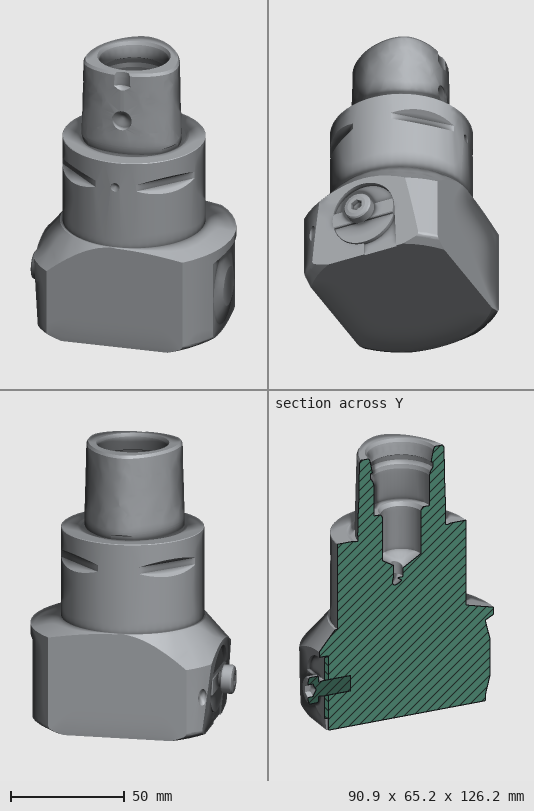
import cadquery as cq
import math

TOTAL_HEIGHT = 126.2
COLLAR_TOP = 88.2
HEAD_TOP = 47.6

HEAD_RADIUS = 45.0
HEAD_WIDTH = 65.2
BACK_SHOULDER_RADIUS = 32.7
FRONT_SHOULDER_RADIUS = 31.8
BACK_CONE_BOTTOM = 32.8
FRONT_CONE_BOTTOM = 44.2
BASE_CHAMFER_HEIGHT = 2.5
BASE_CHAMFER_ANGLE = 30.0
BASE_FILLET_RADIUS = 2.3

BACK_FLAT_BASE_X = -36.5
BACK_FLAT_TILT = 6.0

TOOL_FACE_X = 41.1
LIP_UNDERSIDE_INNER_Z = 38.6
LIP_UNDERSIDE_OUTER_Z = 40.6
TOOL_BOSS_BASE_RADIUS = 17.3
TOOL_BOSS_TIP_RADIUS = 8.8
TOOL_BOSS_HEIGHT = 2.1

COLLAR_RADIUS = 31.5
COLLAR_EDGE_CHAMFER = 0.3
GRIPPER_Z = 76.4
GRIPPER_ANGLES = (45, 135, 225, 315)
GRIPPER_FLOOR_DISTANCE = 27.9
GRIPPER_FLOOR_HALF_HEIGHT = 1.5
GRIPPER_MOUTH_HALF_HEIGHT = 3.9
MARK_HOLE_RADIUS = 2.0
MARK_HOLE_DEPTH = 1.0
RELIEF_OUTER_RADIUS = 24.2
RELIEF_INNER_RADIUS = 22.8
RELIEF_DEPTH = 0.4

SHANK_BASE_RADIUS = 22.1
SHANK_TOP_RADIUS = 21.2
LOBE_TO_FLAT_RISE = 2.9
LOBE_HEIGHT = LOBE_TO_FLAT_RISE / 2
NECK_INSET = 0.1
SHANK_TAPER_START = 91.2
SHANK_BEVEL_HEIGHT = 1.3
SHANK_BEVEL_INSET = 0.8
NECK_TOP = 90.4
LOBE_TRIM_RADIUS = 22.8
LOBE_TRIM_TOP = 89.6
OUTLINE_POINTS = 36

MOUTH_RADIUS = 16.2
MOUTH_CHAMFER_HEIGHT = 1.5
SEAT_TOP_RADIUS = 15.4
SEAT_BOTTOM_RADIUS = 14.3
SEAT_BOTTOM_Z = 119.1
GROOVE_RADIUS = 15.1
GROOVE_TOP = 118.6
GROOVE_BOTTOM = 116.4
BORE_LEAD_RADIUS = 14.0
BORE_LEAD_TOP = 114.7
BORE_RADIUS = 13.5
BORE_TOP = 112.8
LEDGE_Z = 98.4
DRILL_MOUTH_RADIUS = 10.3
DRILL_RADIUS = 9.2
DRILL_MOUTH_DEPTH = 1.8
DRILL_TIP_Z = 70.7
DRILL_POINT_ANGLE = 31.0

COOLANT_RADIUS = 2.5
COOLANT_DIRECTION = 145.0
COOLANT_INLET_OFFSET = 2.0
COOLANT_INLET_DEPTH = 3.8
COOLANT_OUTLET_Z = 18.9

KEYWAY_RADIUS = 5.3
KEYWAY_AXIS_Y = -23.5
KEYWAY_FLOOR_Z = 119.8
KEYWAY_POINT_ANGLE = 45.0
SIDE_HOLE_RADIUS = 4.4
SIDE_HOLE_Z = 103.6
SIDE_HOLE_MOUTH_Y = -20.3
SIDE_HOLE_DEPTH = 1.5
SIDE_HOLE_TILT = 10.0

CLAMP_Z = 20.6
RECESS_RADIUS = 15.0
RECESS_FLOOR_X = -35.8
RECESS_RUNOUT_Y = 0.6
DISC_RADIUS = 14.8
DISC_FACE_X = -37.9
RIB_FACE_X = -39.2
RIB_WIDTH = 7.6
RIB_EDGE_CHAMFER = 0.4
SCREW_HEAD_FACE_X = -45.9
SCREW_HEAD_UNDERSIDE_X = -40.5
SCREW_HEAD_RADIUS = 6.4
SCREW_HEAD_RIM_RADIUS = 5.9
SCREW_FACE_RADIUS = 4.3
SCREW_FACE_STEP = 0.4
SCREW_HEAD_CHAMFER = 0.6
SCREW_SHANK_RADIUS = 3.5
SCREW_END_X = -25.2
SOCKET_SIDES = 6
SOCKET_WIDTH = 5.8
SOCKET_DEPTH = 2.5

CUT_MARGIN = 6.3
BURIED_OVERLAP = 1.3


def cosd(angle):
    return math.cos(math.radians(angle))


def sind(angle):
    return math.sin(math.radians(angle))


def tand(angle):
    return math.tan(math.radians(angle))


def turned(points):
    """Solid turned about Z from (radius, z) points."""
    return cq.Workplane("XZ").polyline(points).close().revolve(360, (0, 0), (0, 1))


def turned_about_clamp_axis(points):
    """Solid turned about the X-direction clamp axis from (x, radius) points."""
    profile = cq.Workplane("XZ").polyline(points).close()
    return profile.revolve(360, (0, 0), (1, 0)).translate((0, 0, CLAMP_Z))


def cone_pointed_drill(radius, depth, point_angle):
    """Drill pointing along -Z: its full diameter starts CUT_MARGIN above Z = 0 and ends at -depth."""
    point_height = radius * tand(point_angle)
    return turned([
        (0, CUT_MARGIN),
        (radius, CUT_MARGIN),
        (radius, -depth),
        (0, -depth - point_height),
    ])


def head_half(shoulder_radius, cone_bottom, start_angle):
    """Half of the turned head blank, with its cone running from shoulder_radius down to cone_bottom."""
    chamfer_width = BASE_CHAMFER_HEIGHT / tand(BASE_CHAMFER_ANGLE)
    fillet_turn = 90 - BASE_CHAMFER_ANGLE
    tangent = BASE_FILLET_RADIUS * tand(fillet_turn / 2)
    fillet_start = (
        HEAD_RADIUS - tangent * cosd(BASE_CHAMFER_ANGLE),
        BASE_CHAMFER_HEIGHT - tangent * sind(BASE_CHAMFER_ANGLE),
    )
    fillet_end = (HEAD_RADIUS, BASE_CHAMFER_HEIGHT + tangent)
    fillet_middle = (
        HEAD_RADIUS - BASE_FILLET_RADIUS * (1 - cosd(fillet_turn / 2)),
        fillet_end[1] - BASE_FILLET_RADIUS * sind(fillet_turn / 2),
    )
    profile = (
        cq.Workplane("XZ")
        .lineTo(HEAD_RADIUS - chamfer_width, 0)
        .lineTo(*fillet_start)
        .threePointArc(fillet_middle, fillet_end)
        .lineTo(HEAD_RADIUS, cone_bottom)
        .lineTo(shoulder_radius, HEAD_TOP)
        .lineTo(0, HEAD_TOP)
        .close()
    )
    half = profile.revolve(180, (0, 0), (0, 1))
    return half.rotate((0, 0, 0), (0, 0, 1), start_angle)


def back_flat_cutter():
    """Everything outside the tilted -X flat."""
    height = HEAD_TOP + CUT_MARGIN
    outside_x = -HEAD_RADIUS - CUT_MARGIN
    top_x = BACK_FLAT_BASE_X - height * tand(BACK_FLAT_TILT)
    outline = [(BACK_FLAT_BASE_X, 0), (top_x, height), (outside_x, height), (outside_x, 0)]
    return cq.Workplane("XZ").polyline(outline).close().extrude(HEAD_RADIUS, both=True)


def tool_face_cutter():
    """Everything outside the +X tool face, below the overhanging lip."""
    outside_x = HEAD_RADIUS + CUT_MARGIN
    lip_slope = (LIP_UNDERSIDE_OUTER_Z - LIP_UNDERSIDE_INNER_Z) / (HEAD_RADIUS - TOOL_FACE_X)
    outside_z = LIP_UNDERSIDE_INNER_Z + lip_slope * (outside_x - TOOL_FACE_X)
    outline = [
        (TOOL_FACE_X, 0),
        (TOOL_FACE_X, LIP_UNDERSIDE_INNER_Z),
        (outside_x, outside_z),
        (outside_x, 0),
    ]
    return cq.Workplane("XZ").polyline(outline).close().extrude(HEAD_RADIUS, both=True)


def tool_boss():
    return turned_about_clamp_axis([
        (TOOL_FACE_X - BURIED_OVERLAP, 0),
        (TOOL_FACE_X - BURIED_OVERLAP, TOOL_BOSS_BASE_RADIUS),
        (TOOL_FACE_X, TOOL_BOSS_BASE_RADIUS),
        (TOOL_FACE_X + TOOL_BOSS_HEIGHT, TOOL_BOSS_TIP_RADIUS),
        (TOOL_FACE_X + TOOL_BOSS_HEIGHT, 0),
    ])


def clamp_recess():
    """Round disc seat with a straight run-out down through the underside."""
    outside_x = -HEAD_RADIUS - CUT_MARGIN
    depth = RECESS_FLOOR_X - outside_x
    seat = (
        cq.Workplane("YZ", origin=(outside_x, 0, CLAMP_Z))
        .circle(RECESS_RADIUS)
        .extrude(depth)
    )
    runout = cq.Workplane("XY").box(
        depth, RECESS_RUNOUT_Y + RECESS_RADIUS, CLAMP_Z, centered=False
    ).translate((outside_x, -RECESS_RADIUS, 0))
    return seat.union(runout)


def head():
    back = head_half(BACK_SHOULDER_RADIUS, BACK_CONE_BOTTOM, 90)
    front = head_half(FRONT_SHOULDER_RADIUS, FRONT_CONE_BOTTOM, -90)
    blank = back.union(front)
    sides = cq.Workplane("XY").box(4 * HEAD_RADIUS, HEAD_WIDTH, 4 * HEAD_RADIUS)
    body = blank.intersect(sides).cut(back_flat_cutter()).cut(tool_face_cutter())
    return body.union(tool_boss()).cut(clamp_recess())


def gripper_groove(angle):
    """Straight trapezoidal groove across the collar, facing the given direction."""
    rise = GRIPPER_MOUTH_HALF_HEIGHT - GRIPPER_FLOOR_HALF_HEIGHT
    flare = rise / (COLLAR_RADIUS - GRIPPER_FLOOR_DISTANCE)
    outside = COLLAR_RADIUS + CUT_MARGIN
    mouth = GRIPPER_FLOOR_HALF_HEIGHT + flare * (outside - GRIPPER_FLOOR_DISTANCE)
    outline = [
        (GRIPPER_FLOOR_DISTANCE, GRIPPER_Z - GRIPPER_FLOOR_HALF_HEIGHT),
        (outside, GRIPPER_Z - mouth),
        (outside, GRIPPER_Z + mouth),
        (GRIPPER_FLOOR_DISTANCE, GRIPPER_Z + GRIPPER_FLOOR_HALF_HEIGHT),
    ]
    groove = cq.Workplane("XZ").polyline(outline).close().extrude(COLLAR_RADIUS, both=True)
    return groove.rotate((0, 0, 0), (0, 0, 1), angle)


def shank_relief():
    """Shallow dished ring in the collar face around the shank."""
    return turned([
        (0, COLLAR_TOP - RELIEF_DEPTH),
        (RELIEF_INNER_RADIUS, COLLAR_TOP - RELIEF_DEPTH),
        (RELIEF_OUTER_RADIUS, COLLAR_TOP),
        (0, COLLAR_TOP),
    ])


def mark_hole():
    drill = cone_pointed_drill(MARK_HOLE_RADIUS, MARK_HOLE_DEPTH, DRILL_POINT_ANGLE)
    return drill.rotate((0, 0, 0), (1, 0, 0), 90).translate((0, -COLLAR_RADIUS, GRIPPER_Z))


def collar():
    body = (
        cq.Workplane("XY", origin=(0, 0, HEAD_TOP))
        .circle(COLLAR_RADIUS)
        .extrude(COLLAR_TOP - HEAD_TOP)
        .faces(">Z")
        .chamfer(COLLAR_EDGE_CHAMFER)
    )
    for angle in GRIPPER_ANGLES:
        body = body.cut(gripper_groove(angle))
    return body.cut(shank_relief()).cut(mark_hole())


def lobed_outline(mean_radius):
    """Points on a constant-width three-lobed outline with one lobe toward +Y."""
    points = []
    for i in range(OUTLINE_POINTS):
        angle = 360 * i / OUTLINE_POINTS
        support = mean_radius + LOBE_HEIGHT * cosd(3 * (angle - 90))
        slide = -3 * LOBE_HEIGHT * sind(3 * (angle - 90))
        x = support * cosd(angle) - slide * sind(angle)
        y = support * sind(angle) + slide * cosd(angle)
        points.append((x, y))
    return points


def lobed_section(bottom_z, bottom_outline, top_z, top_outline):
    """Solid between two lobed outlines at different heights."""
    return (
        cq.Workplane("XY", origin=(0, 0, bottom_z))
        .spline(bottom_outline, periodic=True)
        .close()
        .workplane(offset=top_z - bottom_z)
        .spline(top_outline, periodic=True)
        .close()
        .loft(ruled=True)
    )


def lobe_trim():
    """Turned undercut that trims the lobes just above the collar."""
    lobe_radius = SHANK_BASE_RADIUS + LOBE_HEIGHT
    outside = lobe_radius + CUT_MARGIN
    return turned([
        (LOBE_TRIM_RADIUS, COLLAR_TOP - RELIEF_DEPTH),
        (LOBE_TRIM_RADIUS, LOBE_TRIM_TOP),
        (lobe_radius, NECK_TOP),
        (outside, NECK_TOP),
        (outside, COLLAR_TOP - RELIEF_DEPTH),
    ])


def keyway():
    drill = cone_pointed_drill(KEYWAY_RADIUS, 0, KEYWAY_POINT_ANGLE)
    tall = cq.Workplane("XY").circle(KEYWAY_RADIUS).extrude(TOTAL_HEIGHT - KEYWAY_FLOOR_Z)
    return drill.union(tall).translate((0, KEYWAY_AXIS_Y, KEYWAY_FLOOR_Z))


def side_hole():
    """Blind hole on the -Y side, rising slightly inward."""
    drill = cone_pointed_drill(SIDE_HOLE_RADIUS, SIDE_HOLE_DEPTH, DRILL_POINT_ANGLE)
    drill = drill.rotate((0, 0, 0), (1, 0, 0), 90 + SIDE_HOLE_TILT)
    return drill.translate((0, SIDE_HOLE_MOUTH_Y, SIDE_HOLE_Z))


def shank():
    relief_z = COLLAR_TOP - RELIEF_DEPTH
    bevel_z = TOTAL_HEIGHT - SHANK_BEVEL_HEIGHT
    neck_outline = lobed_outline(SHANK_BASE_RADIUS - NECK_INSET)
    base_outline = lobed_outline(SHANK_BASE_RADIUS)
    top_outline = lobed_outline(SHANK_TOP_RADIUS)
    rim_outline = lobed_outline(SHANK_TOP_RADIUS - SHANK_BEVEL_INSET)
    neck = lobed_section(relief_z, neck_outline, NECK_TOP, neck_outline)
    straight = lobed_section(NECK_TOP, base_outline, SHANK_TAPER_START, base_outline)
    taper = lobed_section(SHANK_TAPER_START, base_outline, bevel_z, top_outline)
    bevel = lobed_section(bevel_z, top_outline, TOTAL_HEIGHT, rim_outline)
    body = neck.union(straight).cut(lobe_trim()).union(taper).union(bevel)
    return body.cut(keyway()).cut(side_hole())


def shank_bore():
    return turned([
        (0, TOTAL_HEIGHT),
        (MOUTH_RADIUS, TOTAL_HEIGHT),
        (SEAT_TOP_RADIUS, TOTAL_HEIGHT - MOUTH_CHAMFER_HEIGHT),
        (SEAT_BOTTOM_RADIUS, SEAT_BOTTOM_Z),
        (GROOVE_RADIUS, GROOVE_TOP),
        (GROOVE_RADIUS, GROOVE_BOTTOM),
        (BORE_LEAD_RADIUS, BORE_LEAD_TOP),
        (BORE_RADIUS, BORE_TOP),
        (BORE_RADIUS, LEDGE_Z),
        (DRILL_MOUTH_RADIUS, LEDGE_Z),
        (DRILL_RADIUS, LEDGE_Z - DRILL_MOUTH_DEPTH),
        (DRILL_RADIUS, DRILL_TIP_Z + DRILL_RADIUS * tand(DRILL_POINT_ANGLE)),
        (0, DRILL_TIP_Z),
    ])


def coolant_channel():
    """Short vertical inlet under the bore, then a sloping channel out to the head corner."""
    toward_x = cosd(COOLANT_DIRECTION)
    toward_y = sind(COOLANT_DIRECTION)
    bend = cq.Vector(
        COOLANT_INLET_OFFSET * toward_x,
        COOLANT_INLET_OFFSET * toward_y,
        DRILL_TIP_Z - COOLANT_INLET_DEPTH,
    )
    outlet = cq.Vector(HEAD_RADIUS * toward_x, HEAD_RADIUS * toward_y, COOLANT_OUTLET_Z)
    slope = outlet - bend
    up = cq.Vector(0, 0, 1)
    inlet = cq.Solid.makeCylinder(COOLANT_RADIUS, COOLANT_INLET_DEPTH + CUT_MARGIN, bend, up)
    channel = cq.Solid.makeCylinder(COOLANT_RADIUS, slope.Length + CUT_MARGIN, bend, slope)
    return cq.Workplane(inlet).union(cq.Workplane(channel))


def make_screw():
    blank = turned_about_clamp_axis([
        (SCREW_HEAD_FACE_X, 0),
        (SCREW_HEAD_FACE_X, SCREW_FACE_RADIUS),
        (SCREW_HEAD_FACE_X + SCREW_FACE_STEP, SCREW_HEAD_RIM_RADIUS),
        (SCREW_HEAD_FACE_X + SCREW_FACE_STEP + SCREW_HEAD_CHAMFER, SCREW_HEAD_RADIUS),
        (SCREW_HEAD_UNDERSIDE_X - SCREW_HEAD_CHAMFER, SCREW_HEAD_RADIUS),
        (SCREW_HEAD_UNDERSIDE_X, SCREW_HEAD_RADIUS - SCREW_HEAD_CHAMFER),
        (SCREW_HEAD_UNDERSIDE_X, SCREW_SHANK_RADIUS),
        (SCREW_END_X, SCREW_SHANK_RADIUS),
        (SCREW_END_X, 0),
    ])
    socket = (
        cq.Workplane("YZ", origin=(SCREW_HEAD_FACE_X, 0, CLAMP_Z))
        .transformed(rotate=(0, 0, 90))
        .polygon(SOCKET_SIDES, SOCKET_WIDTH)
        .extrude(SOCKET_DEPTH)
    )
    floor_x = SCREW_HEAD_FACE_X + SOCKET_DEPTH
    point_radius = SOCKET_WIDTH / 2 * cosd(180 / SOCKET_SIDES)
    socket_point = turned_about_clamp_axis([
        (floor_x, 0),
        (floor_x, point_radius),
        (floor_x + point_radius * tand(DRILL_POINT_ANGLE), 0),
    ])
    return blank.cut(socket).cut(socket_point)


def make_clamp_disc(screw):
    disc = (
        cq.Workplane("YZ", origin=(DISC_FACE_X, 0, CLAMP_Z))
        .circle(DISC_RADIUS)
        .extrude(RECESS_FLOOR_X - DISC_FACE_X)
    )
    rib = (
        cq.Workplane("XY")
        .box(DISC_FACE_X - RIB_FACE_X, 2 * DISC_RADIUS, RIB_WIDTH)
        .edges("<X and |Y")
        .chamfer(RIB_EDGE_CHAMFER)
        .translate(((DISC_FACE_X + RIB_FACE_X) / 2, 0, CLAMP_Z))
    )
    rib_round = (
        cq.Workplane("YZ", origin=(RIB_FACE_X, 0, CLAMP_Z))
        .circle(DISC_RADIUS)
        .extrude(DISC_FACE_X - RIB_FACE_X)
    )
    return disc.union(rib.intersect(rib_round)).cut(screw)


def make_holder(screw):
    body = head().union(collar()).union(shank())
    return body.cut(shank_bore()).cut(coolant_channel()).cut(screw)


screw = make_screw()
clamp_disc = make_clamp_disc(screw)
holder = make_holder(screw)

result = cq.Compound.makeCompound([
    holder.solids().val(),
    clamp_disc.solids().val(),
    screw.solids().val(),
])